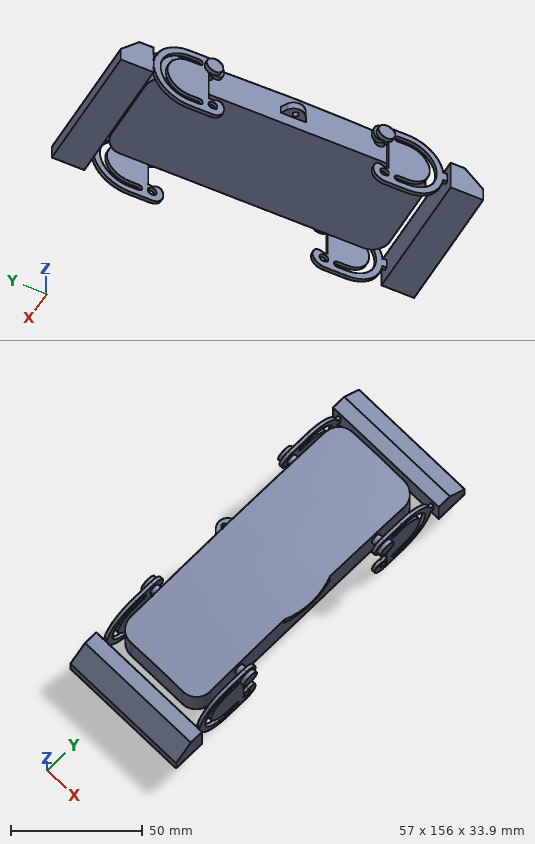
import cadquery as cq
import math

COVER_X = 42.7
COVER_Y = 119.8
COVER_CORNER = 7.5
CROWN_Z = 18.0
CROWN_RADIUS_X = 156
CROWN_RADIUS_Y = 811.2

GRIP_LENGTH = 24.6
GRIP_REACH = 2.3
GRIP_FOOT_Z = 12.3

EYE_RADIUS = 4.7
EYE_FLANK_ANGLE = 30
EYE_HOLE_RADIUS = 1.17
EYE_HOLE_OFFSET = 1.9
EYE_BASE_Z = 5.5
EYE_THICKNESS = 3.5

PLATE_X = 25.0
PLATE_THICKNESS = 1.5
PLATE_CENTRE_Y = 46.8
PLATE_CENTRE_Z = -0.3
PLATE_RADIUS = 15.6
PLATE_INNER_Y = 38.7
SLOT_OUTER_RADIUS = 12.6
SLOT_INNER_RADIUS = 9.7
SLOT_END_Y = 41.3

PIVOT_Y = 37.0
PIVOT_OFFSET_Z = 10.5
PIVOT_HOLE_RADIUS = 1.9
HOOK_RADIUS = PLATE_RADIUS - PIVOT_OFFSET_Z
HOOK_SHIFT_Y = 0.3
LOBE_RADIUS = 2.2
LOBE_ANGLE = 30
NOTCH_RADIUS = 2.1

PIN_RADIUS = 2.2
PIN_HEAD_RADIUS = 3.6
PIN_END_X = 27.6

BAR_X = 57.0
BAR_END_Y = 78.0
BAR_SIZE = 14.0
BAR_CHAMFER = 8.0
BAR_BASE_Z = -8.5
NECK_HEIGHT = 4.2


def crown_envelope():
    """Ring whose outer surface is an X arc revolved about a distant X axis."""
    half_x = COVER_X / 2 + 2 * GRIP_REACH
    axis_z = CROWN_Z - CROWN_RADIUS_Y
    bore_z = -CROWN_Z
    rim_z = CROWN_Z - CROWN_RADIUS_X + math.sqrt(CROWN_RADIUS_X**2 - half_x**2)
    return (
        cq.Workplane("XZ")
        .moveTo(-half_x, bore_z)
        .lineTo(-half_x, rim_z)
        .threePointArc((0, CROWN_Z), (half_x, rim_z))
        .lineTo(half_x, bore_z)
        .close()
        .revolve(360, (0, axis_z, 0), (1, axis_z, 0))
    )


def thumb_grip():
    wall_x = COVER_X / 2
    reach_x = wall_x + GRIP_REACH
    bulge = (
        cq.Workplane("XY", origin=(0, 0, GRIP_FOOT_Z))
        .moveTo(0, -GRIP_LENGTH / 2)
        .lineTo(wall_x, -GRIP_LENGTH / 2)
        .threePointArc((reach_x, 0), (wall_x, GRIP_LENGTH / 2))
        .lineTo(0, GRIP_LENGTH / 2)
        .close()
        .extrude(CROWN_Z - GRIP_FOOT_Z)
    )
    undercut = (
        cq.Workplane("XZ", origin=(0, GRIP_LENGTH / 2, 0))
        .polyline([
            (wall_x, GRIP_FOOT_Z),
            (reach_x, GRIP_FOOT_Z),
            (reach_x, GRIP_FOOT_Z + GRIP_REACH),
        ])
        .close()
        .extrude(GRIP_LENGTH)
    )
    return bulge.cut(undercut)


def cover():
    block = (
        cq.Workplane("XY")
        .box(COVER_X, COVER_Y, CROWN_Z, centered=(True, True, False))
        .edges("|Z")
        .fillet(COVER_CORNER)
    )
    return block.union(thumb_grip()).intersect(crown_envelope())


def lanyard_eye():
    wall_x = -COVER_X / 2
    flank = math.radians(EYE_FLANK_ANGLE)
    flank_x = -EYE_RADIUS * math.sin(flank)
    flank_y = EYE_RADIUS * math.cos(flank)
    root_y = EYE_RADIUS / math.cos(flank)
    return (
        cq.Workplane("XY", origin=(wall_x, 0, EYE_BASE_Z))
        .moveTo(0, root_y)
        .lineTo(flank_x, flank_y)
        .threePointArc((-EYE_RADIUS, 0), (flank_x, -flank_y))
        .lineTo(0, -root_y)
        .lineTo(EYE_RADIUS, -root_y)
        .lineTo(EYE_RADIUS, root_y)
        .close()
        .moveTo(-EYE_HOLE_OFFSET, 0)
        .circle(EYE_HOLE_RADIUS)
        .extrude(EYE_THICKNESS)
    )


def toward(start, end, distance):
    """Point at a given distance from start, in the direction of end."""
    fraction = distance / math.dist(start, end)
    return tuple(a + fraction * (b - a) for a, b in zip(start, end))


def on_circle(centre, radius, degrees):
    angle = math.radians(degrees)
    return (centre[0] + radius * math.cos(angle), centre[1] + radius * math.sin(angle))


def plate_workplane():
    """YZ plane at the inner face of the +X plate, with its origin at the plate's arc centre."""
    inner_x = PLATE_X - PLATE_THICKNESS / 2
    return cq.Workplane("YZ", origin=(inner_x, PLATE_CENTRE_Y, PLATE_CENTRE_Z))


def plate_half():
    """Lower half of a plate: a quarter disc running into the hook."""
    edge = PLATE_INNER_Y - PLATE_CENTRE_Y
    hook = (PIVOT_Y + HOOK_SHIFT_Y - PLATE_CENTRE_Y, -PIVOT_OFFSET_Z)

    lobe_direction = 180 - LOBE_ANGLE
    lobe = on_circle(hook, HOOK_RADIUS - LOBE_RADIUS, lobe_direction)
    notch_rise = math.sqrt((LOBE_RADIUS + NOTCH_RADIUS)**2 - (lobe[0] - hook[0])**2)
    notch = (hook[0], lobe[1] + notch_rise)
    notch_corner = (edge, notch[1] - math.sqrt(NOTCH_RADIUS**2 - (edge - notch[0])**2))

    return (
        plate_workplane()
        .moveTo(PLATE_RADIUS, 0)
        .threePointArc(on_circle((0, 0), PLATE_RADIUS, -45), (0, -PLATE_RADIUS))
        .lineTo(hook[0], -PLATE_RADIUS)
        .threePointArc(
            on_circle(hook, HOOK_RADIUS, 225),
            on_circle(hook, HOOK_RADIUS, lobe_direction),
        )
        .threePointArc(on_circle(lobe, LOBE_RADIUS, 90), toward(lobe, notch, LOBE_RADIUS))
        .threePointArc(on_circle(notch, NOTCH_RADIUS, 270), notch_corner)
        .lineTo(edge, 0)
        .close()
        .extrude(PLATE_THICKNESS)
    )


def plate_slot():
    slot_middle = (SLOT_OUTER_RADIUS + SLOT_INNER_RADIUS) / 2
    end_radius = (SLOT_OUTER_RADIUS - SLOT_INNER_RADIUS) / 2
    tip = SLOT_END_Y - PLATE_CENTRE_Y
    straight_end = tip + end_radius
    return (
        plate_workplane()
        .moveTo(straight_end, -SLOT_OUTER_RADIUS)
        .lineTo(0, -SLOT_OUTER_RADIUS)
        .threePointArc((SLOT_OUTER_RADIUS, 0), (0, SLOT_OUTER_RADIUS))
        .lineTo(straight_end, SLOT_OUTER_RADIUS)
        .threePointArc((tip, slot_middle), (straight_end, SLOT_INNER_RADIUS))
        .lineTo(0, SLOT_INNER_RADIUS)
        .threePointArc((SLOT_INNER_RADIUS, 0), (0, -SLOT_INNER_RADIUS))
        .lineTo(straight_end, -SLOT_INNER_RADIUS)
        .threePointArc((tip, -slot_middle), (straight_end, -SLOT_OUTER_RADIUS))
        .close()
        .extrude(PLATE_THICKNESS)
    )


def neck():
    """Short web joining a plate to its handle bar."""
    bar_inner = BAR_END_Y - BAR_SIZE - PLATE_CENTRE_Y
    return (
        plate_workplane()
        .moveTo((SLOT_OUTER_RADIUS + bar_inner) / 2, 0)
        .rect(bar_inner - SLOT_OUTER_RADIUS, NECK_HEIGHT)
        .extrude(PLATE_THICKNESS)
    )


def side_plate():
    half = plate_half()
    other_half = half.mirror("XY", (0, 0, PLATE_CENTRE_Z))
    pivot_hole = (
        plate_workplane()
        .moveTo(PIVOT_Y - PLATE_CENTRE_Y, -PIVOT_OFFSET_Z)
        .circle(PIVOT_HOLE_RADIUS)
        .extrude(PLATE_THICKNESS)
    )
    return half.union(other_half).union(neck()).cut(plate_slot()).cut(pivot_hole)


def pivot_pin():
    pivot_z = PLATE_CENTRE_Z + PIVOT_OFFSET_Z
    start_x = COVER_X / 2 - PIN_RADIUS
    plate_outer_x = PLATE_X + PLATE_THICKNESS / 2
    shank = (
        cq.Workplane("YZ", origin=(start_x, PIVOT_Y, pivot_z))
        .circle(PIN_RADIUS)
        .extrude(plate_outer_x - start_x)
    )
    head = (
        cq.Workplane("YZ", origin=(plate_outer_x, PIVOT_Y, pivot_z))
        .circle(PIN_HEAD_RADIUS)
        .extrude(PIN_END_X - plate_outer_x)
    )
    return shank.union(head)


def handle_bar():
    return (
        cq.Workplane("XY", origin=(0, BAR_END_Y - BAR_SIZE / 2, BAR_BASE_Z))
        .box(BAR_X, BAR_SIZE, BAR_SIZE, centered=(True, True, False))
        .edges(">Y and >Z")
        .chamfer(BAR_CHAMFER)
    )


def latch():
    """Latch at the +Y end: two side plates, their pins and the handle bar."""
    side = side_plate().union(pivot_pin())
    return handle_bar().union(side).union(side.mirror("YZ"))


end_latch = latch()
result = cover().union(lanyard_eye()).union(end_latch).union(end_latch.mirror("XZ"))